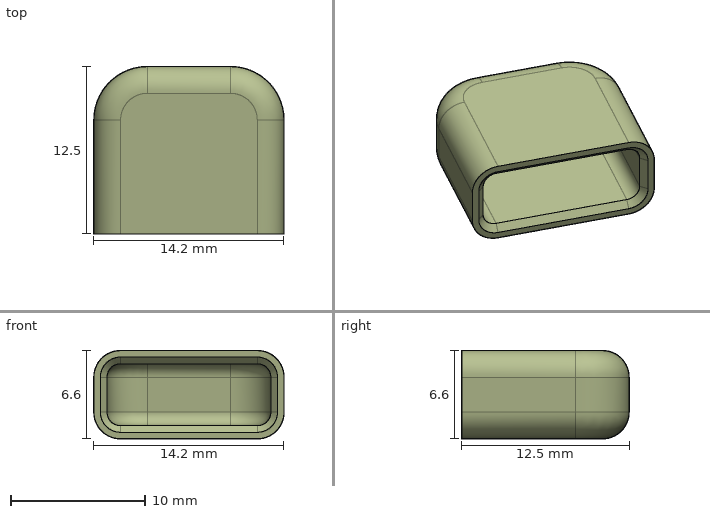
import cadquery as cq

width = 14.2
depth = 12.5
height = 6.6
edge_radius = 2.0
plan_corner_radius = 2 * edge_radius

wall = 1.0
mouth_bevel = wall / 2


def rounded_block(inset):
    """Cap-shaped solid, offset inward from the outer surface except at the open face."""
    block = cq.Workplane("XY").box(
        width - 2 * inset,
        depth - inset,
        height - 2 * inset,
        centered=(True, False, True),
    )
    block = block.edges("|Z and >Y").fillet(plan_corner_radius - inset)
    return block.faces("<Z or >Z").edges("not <Y").fillet(edge_radius - inset)


cap = rounded_block(0).cut(rounded_block(wall))

mouth_rim = cap.faces("<Y").val().innerWires()[0]
result = cap.newObject(mouth_rim.Edges()).chamfer(mouth_bevel)